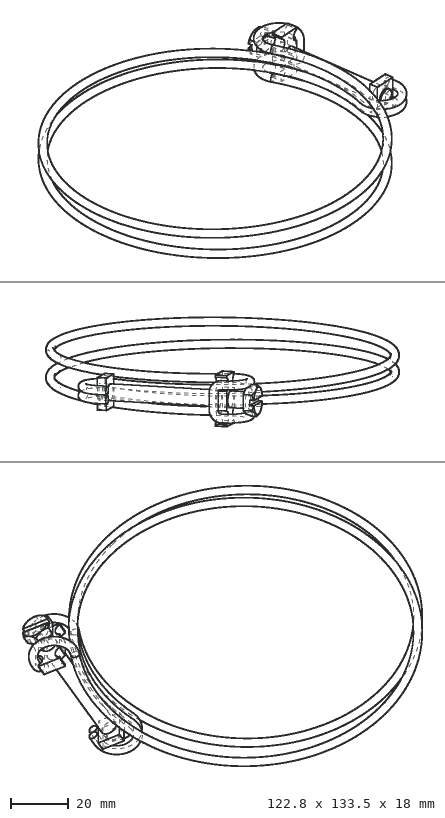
import cadquery as cq
import math

ring_outer_radius = 61.4
overall_length = 133.5
wire_diameter = 3.1
hook_radius = 7.3
yoke_height = 5.9
nut_hook_height = 1.6
nut_hook_straight = 3.6
yoke_straight = 0.5
yoke_bend_radius = 2.7

bolt_y = 64.7
shank_diameter = 5.9
bolt_start_x = -34.0
bolt_end_x = 23.9
head_thickness = 3.9
head_across_flats = 9.7
slot_width = 1.9
slot_depth = 1.6

block_depth = 8.4
saddle_start_x = -23.9
saddle_thickness = 4.3
saddle_length = 18.0
groove_radius = 2.5
groove_offset = 0.8
nut_start_x = 20.0
nut_thickness = 3.3
nut_length = 11.5

wire_radius = wire_diameter / 2
ring_radius = ring_outer_radius - wire_radius
hook_top_y = overall_length - ring_outer_radius - wire_radius
hook_center_y = hook_top_y - hook_radius
center_distance = ring_radius + hook_radius
hook_center_x = math.sqrt(center_distance**2 - hook_center_y**2)
contact_angle = math.degrees(math.atan2(hook_center_y, hook_center_x))
contact_x = hook_center_x * ring_radius / center_distance
contact_y = hook_center_y * ring_radius / center_distance


def hook_arc(side, z):
    """Hook centreline from the ring contact, round the outside, to the hook's top; side is -1 or 1."""
    return cq.Edge.makeThreePointArc(
        cq.Vector(side * contact_x, contact_y, z),
        cq.Vector(side * (hook_center_x + hook_radius), hook_center_y, z),
        cq.Vector(side * hook_center_x, hook_top_y, z),
    )


def contact_profile(side, z):
    """Wire cross-section where a hook meets the ring, square to the ring's circle."""
    plane = cq.Plane(
        origin=(side * contact_x, contact_y, z),
        xDir=(0, 0, 1),
        normal=(-contact_y, side * contact_x, 0),
    )
    return cq.Workplane(plane).circle(wire_radius)


def make_upper_ring():
    """Just over one turn of wire, rising from its nut-side hook to the yoke, plus that hook."""
    turn_degrees = 360 + 2 * (90 - contact_angle)
    rise = yoke_height - nut_hook_height
    helix = cq.Wire.makeHelix(rise * 360 / turn_degrees, rise, ring_radius)
    helix = helix.rotate(cq.Vector(0, 0, 0), cq.Vector(0, 0, 1), contact_angle)
    helix = helix.translate(cq.Vector(0, 0, nut_hook_height))
    turn = contact_profile(1, nut_hook_height).sweep(cq.Workplane(helix), isFrenet=True)

    straight = cq.Edge.makeLine(
        cq.Vector(hook_center_x, hook_top_y, nut_hook_height),
        cq.Vector(hook_center_x - nut_hook_straight, hook_top_y, nut_hook_height),
    )
    hook_path = cq.Wire.assembleEdges([hook_arc(1, nut_hook_height), straight])
    hook = contact_profile(1, nut_hook_height).sweep(cq.Workplane(hook_path))
    return turn.union(hook)


def make_yoke():
    """Two hooks joined by a bridge that crosses behind the saddle."""
    bend_start_x = -hook_center_x + yoke_straight
    bridge_x = bend_start_x + yoke_bend_radius
    bridge_end_z = yoke_height - yoke_bend_radius
    bend_middle = yoke_bend_radius * math.sqrt(0.5)
    half_edges = []
    for z_side in (1, -1):
        z = z_side * yoke_height
        hook_top = cq.Vector(-hook_center_x, hook_top_y, z)
        bend_start = cq.Vector(bend_start_x, hook_top_y, z)
        bend_point = cq.Vector(bend_start_x + bend_middle, hook_top_y, z_side * (bridge_end_z + bend_middle))
        bend_end = cq.Vector(bridge_x, hook_top_y, z_side * bridge_end_z)
        half_edges.append([
            hook_arc(-1, z),
            cq.Edge.makeLine(hook_top, bend_start),
            cq.Edge.makeThreePointArc(bend_start, bend_point, bend_end),
        ])
    bridge = cq.Edge.makeLine(
        cq.Vector(bridge_x, hook_top_y, bridge_end_z),
        cq.Vector(bridge_x, hook_top_y, -bridge_end_z),
    )
    upper_edges, lower_edges = half_edges
    path = cq.Wire.assembleEdges(upper_edges + [bridge] + lower_edges[::-1])
    return contact_profile(-1, yoke_height).sweep(cq.Workplane(path))


def bolt_plane(x):
    """Plane across the bolt axis; local X is the part's Y and local Y is the part's Z."""
    return cq.Workplane("YZ", origin=(x, bolt_y, 0))


def make_bolt(yoke):
    """Slotted hexagon-head bolt along X; its two corners along Z are relieved to seat the yoke hooks."""
    corner_diameter = head_across_flats / math.cos(math.pi / 6)
    corner_radius = corner_diameter / 2
    flat_radius = head_across_flats / 2

    head = bolt_plane(bolt_start_x).transformed(rotate=(0, 0, 90)).polygon(6, corner_diameter)
    head = head.extrude(head_thickness)
    chamfer_envelope = (
        bolt_plane(bolt_start_x)
        .circle(corner_radius)
        .extrude(head_thickness)
        .faces("<X")
        .chamfer(corner_radius - flat_radius)
    )
    head = head.intersect(chamfer_envelope)
    slot = bolt_plane(bolt_start_x).rect(corner_diameter, slot_width).extrude(slot_depth)
    shank = bolt_plane(bolt_start_x + head_thickness).circle(shank_diameter / 2)
    shank = shank.extrude(bolt_end_x - bolt_start_x - head_thickness)
    return head.cut(slot).union(shank).cut(yoke)


def make_block(start_x, thickness, length):
    """Plain block across the bolt, bored to fit the shank."""
    block = bolt_plane(start_x).rect(block_depth, length).extrude(thickness)
    bore = bolt_plane(start_x).circle(shank_diameter / 2).extrude(thickness)
    return block.cut(bore)


def make_saddle():
    """Head-side block with a round wire groove near each corner."""
    groove_y = block_depth / 2 + groove_offset
    groove_places = [(y * groove_y, z * yoke_height) for y in (-1, 1) for z in (-1, 1)]
    grooves = bolt_plane(saddle_start_x).pushPoints(groove_places).circle(groove_radius)
    return make_block(saddle_start_x, saddle_thickness, saddle_length).cut(grooves.extrude(saddle_thickness))


yoke = make_yoke()
bolt = make_bolt(yoke)
saddle = make_saddle()
nut = make_block(nut_start_x, nut_thickness, nut_length)
upper_ring = make_upper_ring()
lower_ring = upper_ring.mirror("XY")

result = cq.Compound.makeCompound([
    bolt.val(),
    saddle.val(),
    nut.val(),
    yoke.val(),
    upper_ring.val(),
    lower_ring.val(),
])